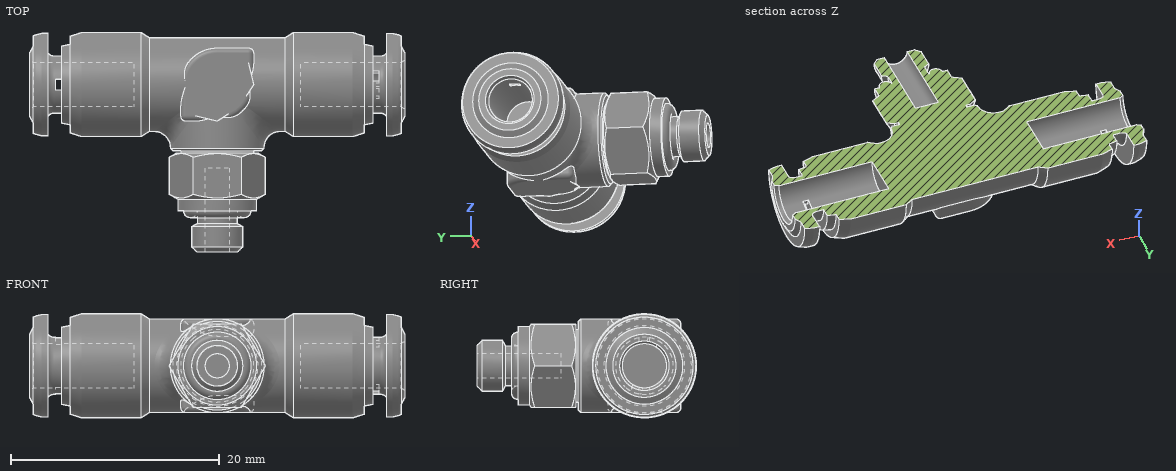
import cadquery as cq
import math


run_radius = 4.5
socket_radius = 5.0
socket_mouth_radius = 4.65
run_half_length = 6.5
socket_start = 7.3
socket_chamfer_start = 13.0
socket_end = 14.1

ring_radius = 3.87
ring_end_radius = 3.7
ring_end = 14.95

stem_radius = 2.75
stem_end = 15.65
flange_inner_face = 16.2
flange_root_radius = 3.03
flange_rim_end = 16.8
flange_radius = 4.93
flange_nose_start = 17.4
flange_nose_radius = 4.78
flange_outer_face = 17.65
flange_face_radius = 4.67
lip_base_radius = 3.68
lip_radius = 3.03
run_end = 18.0
right_collar_turn = 18.0
collar_slot_width = 1.0
collar_slot_start = 15.5

bore_radius = 2.12
bore_mouth_radius = 2.37
bore_mouth_depth = 0.4
bore_bottom = 8.0

boss_end = 6.35
boss_chamfer = 0.25
tee_fillet = 1.5

neck_radius = 3.5
hex_start = 6.55
hex_end = 11.0
hex_across_flats = 8.0
hex_chamfer_angle = 30.0
hex_top_chamfer_radius = 3.9
seat_radius = 3.77
seat_end = 12.1
seal_section_radius = 0.66
undercut_radius = 1.92
undercut_end = 13.3
thread_radius = 2.45
thread_start = 13.6
thread_chamfer = 0.5
branch_end = 16.05
branch_bore_radius = 1.16
branch_bore_bottom = 8.0

pad_half_width = 3.5
pad_edge_fillet = 0.5
pad_corner_fillet = 0.5


def revolve_about_x(points):
    """Revolve an (x, radius) outline about the run axis."""
    return cq.Workplane("XY").polyline(points).close().revolve(360, (0, 0), (1, 0))


def revolve_about_branch(points):
    """Revolve a (radius, distance along -Y) outline about the branch axis."""
    outline = [(radius, -distance) for radius, distance in points]
    return cq.Workplane("XY").polyline(outline).close().revolve(360, (0, 0), (0, 1))


def make_tee_core():
    """Crossing run and boss cylinders, blended where they meet, with the marking pads."""
    run = cq.Workplane("YZ").circle(run_radius).extrude(run_half_length, both=True)
    boss = cq.Workplane("XZ").circle(run_radius).extrude(boss_end)
    boss = boss.faces("<Y").chamfer(boss_chamfer)
    blended = run.union(boss).edges("%ELLIPSE").fillet(tee_fillet)
    return blended.union(make_pads()).union(make_fillet_runouts())


def make_pads():
    """Block rounded in two opposite quadrants, whose ends are the flat pads."""
    half = pad_half_width
    block = (
        cq.Workplane("XY")
        .workplane(offset=-run_radius)
        .moveTo(0, half)
        .lineTo(half, half)
        .lineTo(half, 0)
        .radiusArc((0, -half), half)
        .lineTo(-half, -half)
        .lineTo(-half, 0)
        .radiusArc((0, half), half)
        .close()
        .extrude(2 * run_radius)
    )
    for sign in (-1, 1):
        corner = cq.selectors.NearestToPointSelector((sign * half, sign * half, 0))
        block = block.edges(corner).fillet(pad_corner_fillet)
    return block.faces("|Z").edges().fillet(pad_edge_fillet)


def make_fillet_runouts():
    """Block that fades the pad edge fillet out where the pads run tangent into the run and the boss."""
    half = pad_half_width
    inset = half - pad_edge_fillet
    fade = math.sqrt(run_radius**2 - (run_radius - pad_edge_fillet) ** 2)
    diagonal = inset / math.sqrt(2)
    outline = [
        (0, 0),
        (inset, fade),
        (half, 0),
        (diagonal, -diagonal),
        (0, -half),
        (-fade, -inset),
    ]
    return cq.Workplane("XY").polyline(outline).close().extrude(run_radius, both=True)


def make_socket():
    """Socket body and insert ring on the +X end of the run."""
    return revolve_about_x([
        (0, 0),
        (0, run_radius),
        (run_half_length, run_radius),
        (socket_start, socket_radius),
        (socket_chamfer_start, socket_radius),
        (socket_end, socket_mouth_radius),
        (socket_end, ring_radius),
        (ring_end, ring_end_radius),
        (ring_end, 0),
    ])


def make_collar():
    """Release collar on the +X end, with a slot crossing its stem."""
    outline = (
        cq.Workplane("XY")
        .moveTo(socket_end, 0)
        .lineTo(socket_end, stem_radius)
        .lineTo(stem_end, stem_radius)
        .tangentArcPoint((flange_inner_face, flange_root_radius), relative=False)
        .lineTo(flange_inner_face, flange_radius)
        .lineTo(flange_rim_end, flange_radius)
        .lineTo(flange_nose_start, flange_nose_radius)
        .lineTo(flange_outer_face, flange_face_radius)
        .lineTo(flange_outer_face, lip_base_radius)
        .lineTo(run_end, lip_radius)
        .lineTo(run_end, 0)
        .close()
    )
    collar = outline.revolve(360, (0, 0), (1, 0))
    slot_length = collar_slot_start - ring_end
    slot = cq.Workplane("XY").box(slot_length, collar_slot_width, 2 * socket_radius)
    return collar.cut(slot.translate((ring_end + slot_length / 2, 0, 0)))


def make_tube_bore():
    """Blind tube bore with a tapered mouth, entering from the +X end."""
    return revolve_about_x([
        (bore_bottom, 0),
        (bore_bottom, bore_radius),
        (run_end - bore_mouth_depth, bore_radius),
        (run_end, bore_mouth_radius),
        (run_end, 0),
    ])


def make_hex():
    """Hexagon with flats facing +Z and -Z, chamfered at both ends."""
    length = hex_end - hex_start
    corner_radius = hex_across_flats / math.sqrt(3)
    prism = (
        cq.Workplane("XZ")
        .workplane(offset=hex_start)
        .polygon(6, 2 * corner_radius)
        .extrude(length)
    )
    slope = math.tan(math.radians(hex_chamfer_angle))
    top_drop = (corner_radius - hex_top_chamfer_radius) * slope
    bottom_drop = (corner_radius - seat_radius) * slope
    envelope = revolve_about_branch([
        (0, hex_start),
        (hex_top_chamfer_radius, hex_start),
        (corner_radius, hex_start + top_drop),
        (corner_radius, hex_end - bottom_drop),
        (seat_radius, hex_end),
        (0, hex_end),
    ])
    return prism.intersect(envelope)


def make_stud():
    """Neck, hexagon, seat, seal ring and threaded end of the branch."""
    turned = revolve_about_branch([
        (0, boss_end - boss_chamfer),
        (neck_radius, boss_end - boss_chamfer),
        (neck_radius, hex_end),
        (seat_radius, hex_end),
        (seat_radius, seat_end),
        (undercut_radius, seat_end),
        (undercut_radius, undercut_end),
        (thread_radius, thread_start),
        (thread_radius, branch_end - thread_chamfer),
        (thread_radius - thread_chamfer, branch_end),
        (0, branch_end),
    ])
    return turned.union(make_hex()).union(make_seal())


def make_seal():
    """Round seal ring half sunk into the seat and resting on the undercut."""
    ring_centre = undercut_radius + seal_section_radius
    section = cq.Workplane("XY").center(ring_centre, -seat_end).circle(seal_section_radius)
    return section.revolve(360, (-ring_centre, 0), (-ring_centre, 1))


def make_branch_bore():
    """Blind bore entering from the threaded end."""
    return revolve_about_branch([
        (0, branch_bore_bottom),
        (branch_bore_radius, branch_bore_bottom),
        (branch_bore_radius, branch_end),
        (0, branch_end),
    ])


right_socket = make_socket()
left_socket = right_socket.mirror("YZ")
collar = make_collar()
right_collar = collar.rotate((0, 0, 0), (-1, 0, 0), right_collar_turn)
left_collar = collar.mirror("YZ")
right_bore = make_tube_bore()
left_bore = right_bore.mirror("YZ")

body = make_tee_core().union(make_stud())
for part in (right_socket, left_socket, right_collar, left_collar):
    body = body.union(part)
for bore in (right_bore, left_bore, make_branch_bore()):
    body = body.cut(bore)
result = body